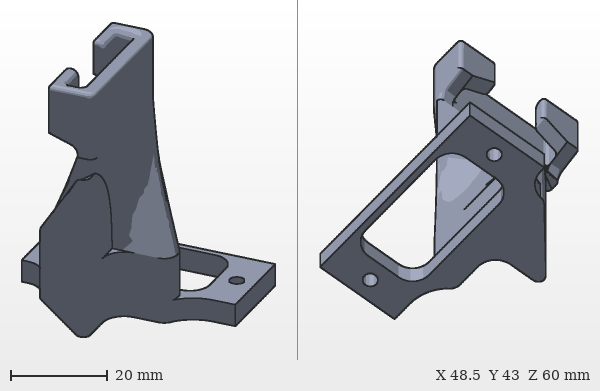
import cadquery as cq
import math

plate_length = 48.5
plate_width = 20.05
plate_thick = 5.05
hole_spacing = 40.1
hole_diameter = 3.2
window_length = 31.5
window_width = 17.1
window_radius = 4.5

pillar_left = -18.05
pillar_right = 12.0
pillar_back = -plate_width / 2
pillar_thick = 5.0
pillar_front = pillar_back - pillar_thick
pillar_height = 15.0
pillar_front_radius = 3.0
edge_radius = 0.95

gusset_right = -1.45
gusset_angle = 41.0
gusset_height = 36.6
gusset_sink = 0.5
gusset_corner_radius = 2.0
gusset_nose_radius = 1.55
gusset_blend_radius = 4.9

left_blend_radius = 4.9
left_blend_start = -22.9
right_blend_radius = 10.4
right_blend_start = 19.3

total_height = 60.0
head_bottom = 44.75
head_split = 55.2
head_left = -8.05
head_right = 2.5
head_back = -0.85
head_length = 32.15
head_back_radius = 3.0
head_front_radius = 1.5
wall_thick = 4.0
lip_thick = 3.05
end_wall_thick = 3.35
lip_length = 9.85
slot_radius = 0.95
slot_rim_radius = 2.0
lip_corner_height = 48.7
lip_tip_rise = 3.6
underside_drop = 2.15
underside_radius = 2.1

head_front = head_back - head_length
wall_left = head_right - wall_thick
slot_left = head_left + lip_thick
slot_back = head_back - end_wall_thick
slot_front = head_front + end_wall_thick
lip_back = head_back - lip_length
lip_front = head_front + lip_length
head_mid_y = (head_back + head_front) / 2


def rounded_corner(before, corner, after, radius):
    """Start, middle and end points of the arc that rounds a corner."""
    corner = cq.Vector(*corner)
    to_before = (cq.Vector(*before) - corner).normalized()
    to_after = (cq.Vector(*after) - corner).normalized()
    half_angle = to_before.getAngle(to_after) / 2
    setback = radius / math.tan(half_angle)
    bisector = (to_before + to_after).normalized()
    middle = corner + bisector * (radius / math.sin(half_angle) - radius)
    return corner + to_before * setback, middle, corner + to_after * setback


def rounded_outline(corners, radii, height):
    """Edges of a closed outline at a height, with one radius for each corner."""
    count = len(corners)
    arcs = [
        rounded_corner(corners[i - 1], corners[i], corners[(i + 1) % count], radii[i])
        for i in range(count)
    ]
    edges = []
    for i, (start, middle, end) in enumerate(arcs):
        next_start = arcs[(i + 1) % count][0]
        edges.append(cq.Edge.makeThreePointArc(start, middle, end))
        edges.append(cq.Edge.makeLine(end, next_start))
    return [edge.translate(cq.Vector(0, 0, height)) for edge in edges]


def straight_outline(corners, height):
    """Edges of a closed polygon at a height."""
    points = [cq.Vector(x, y, height) for x, y in corners]
    return [cq.Edge.makeLine(start, end) for start, end in zip(points, points[1:] + points[:1])]


def ruled_solid(low_edges, high_edges):
    """Solid between two outlines, joining each low edge to the high edge of the same place."""
    faces = [cq.Face.makeRuledSurface(low, high) for low, high in zip(low_edges, high_edges)]
    for edges in (low_edges, high_edges):
        faces.append(cq.Face.makeFromWires(cq.Wire.assembleEdges(edges)))
    return cq.Workplane(cq.Solid.makeSolid(cq.Shell.makeShell(faces)).fix())


def block(x0, x1, y0, y1, z0, z1):
    """Box between two values on each axis."""
    return cq.Workplane("XY").box(x1 - x0, y1 - y0, z1 - z0, centered=False).translate((x0, y0, z0))


def vertical_edge(x, y):
    """Selector for the vertical edges at one place in plan."""
    margin = 0.05
    corner = (x + margin, y + margin, 2 * total_height)
    return cq.selectors.BoxSelector((x - margin, y - margin, -total_height), corner)


def make_plate():
    """Flat plate with a rounded window and two screw holes."""
    plate = cq.Workplane("XY").box(plate_length, plate_width, plate_thick, centered=(True, True, False))
    window = (
        cq.Workplane("XY")
        .rect(window_length, window_width)
        .extrude(plate_thick)
        .edges("|Z")
        .fillet(window_radius)
    )
    holes = (
        cq.Workplane("XY")
        .pushPoints([(-hole_spacing / 2, 0), (hole_spacing / 2, 0)])
        .circle(hole_diameter / 2)
        .extrude(plate_thick)
    )
    return plate.cut(window).cut(holes)


def make_front_blend(start, radius, body_x):
    """Web between the plate's front edge and the upright, hollowed by an arc."""
    web_front = pillar_front + edge_radius
    web = block(min(start, body_x), max(start, body_x), web_front, pillar_back, 0, plate_thick)
    hollow = cq.Workplane("XY").center(start, pillar_back - radius).circle(radius).extrude(plate_thick)
    return web.cut(hollow)


def make_arm():
    """Pillar, then a ruled quarter twist up to the wall of the head."""
    pillar_corners = [
        (pillar_left, pillar_back),
        (pillar_left, pillar_front),
        (pillar_right, pillar_front),
        (pillar_right, pillar_back),
    ]
    pillar_radii = [edge_radius, gusset_corner_radius, pillar_front_radius, edge_radius]
    wall_corners = [
        (wall_left, head_front),
        (head_right, head_front),
        (head_right, head_back),
        (wall_left, head_back),
    ]
    wall_radii = [edge_radius, head_front_radius, head_back_radius, edge_radius]
    foot = rounded_outline(pillar_corners, pillar_radii, 0)
    pillar_top = rounded_outline(pillar_corners, pillar_radii, pillar_height)
    wall_foot = rounded_outline(wall_corners, wall_radii, head_bottom)
    return ruled_solid(foot, pillar_top).union(ruled_solid(pillar_top, wall_foot))


def make_gusset_blend():
    """Concave blend between the gusset's right side and the pillar's front face."""
    radius = gusset_blend_radius
    web = block(gusset_right, gusset_right + radius, pillar_front - radius, pillar_front, 0, pillar_height)
    hollow = (
        cq.Workplane("XY")
        .center(gusset_right + radius, pillar_front - radius)
        .circle(radius)
        .extrude(pillar_height)
    )
    return web.cut(hollow)


def make_gusset():
    """Tapered rib below the twisted arm, with its top sunk a little into the arm."""
    nose_y = pillar_front - (gusset_right - pillar_left) * math.tan(math.radians(gusset_angle))
    pillar_mid_y = (pillar_back + pillar_front) / 2
    rib = (
        cq.Workplane("XY")
        .polyline(
            [
                (pillar_left, pillar_mid_y),
                (pillar_left, pillar_front),
                (gusset_right, nose_y),
                (gusset_right, pillar_mid_y),
            ]
        )
        .close()
        .extrude(gusset_height)
        .edges(vertical_edge(pillar_left, pillar_front))
        .fillet(gusset_corner_radius)
        .edges(vertical_edge(gusset_right, nose_y))
        .fillet(gusset_nose_radius)
    )

    reach = 48.0
    root_y = pillar_front + gusset_sink
    root_x = head_right - gusset_sink
    low_corners = [
        (pillar_left - reach, root_y),
        (pillar_right + reach, root_y),
        (pillar_right + reach, root_y + reach),
        (pillar_left - reach, root_y + reach),
    ]
    high_corners = [
        (root_x, head_front - reach),
        (root_x, head_back + reach),
        (root_x - reach, head_back + reach),
        (root_x - reach, head_front - reach),
    ]
    behind_arm = ruled_solid(
        straight_outline(low_corners, pillar_height),
        straight_outline(high_corners, head_bottom),
    )
    return rib.cut(behind_arm)


def make_ring(bottom, top):
    """Closed ring that becomes the hook once the gap between the lips is cut."""
    ring = block(head_left, head_right, head_front, head_back, bottom, top)
    corners = [
        (head_left, head_front, edge_radius),
        (head_left, head_back, edge_radius),
        (head_right, head_front, head_front_radius),
        (head_right, head_back, head_back_radius),
    ]
    for x, y, radius in corners:
        ring = ring.edges(vertical_edge(x, y)).fillet(radius)
    slot = block(slot_left, wall_left, slot_front, slot_back, bottom, top)
    return ring.cut(slot.edges("|Z").fillet(slot_radius))


def open_lips(ring, bottom, top, round_bottom, round_top):
    """Cut the gap between the lips and round the lip ends between two heights."""
    head = ring.cut(block(head_left, slot_left, lip_front, lip_back, bottom, top))
    margin = 0.005
    for y in (lip_front, lip_back):
        end_face = cq.selectors.BoxSelector(
            (head_left - 0.6, y - margin, round_bottom), (slot_left + 0.05, y + margin, round_top)
        )
        end_edges = head.edges(end_face)
        head = head.newObject(end_edges.vals()).fillet(edge_radius)
    return head


def make_upper_head():
    """Top of the hook, with a small round outside and a large round along the slot."""
    ring = make_ring(head_split, total_height)
    for rim_x, radius in [(head_right, edge_radius), (wall_left, slot_rim_radius)]:
        rim_point = (rim_x, head_mid_y, total_height)
        ring = ring.faces(">Z").edges(cq.selectors.NearestToPointSelector(rim_point)).fillet(radius)
    above_split = head_split + 0.03
    return open_lips(ring, head_split, total_height, above_split, total_height + 0.6)


def make_lower_head():
    """Bottom of the hook, cut away below the lips and end walls."""
    under_right = wall_left
    under_top = lip_corner_height - underside_drop
    underside = (
        cq.Workplane("XZ", origin=(0, head_back, 0))
        .polyline(
            [
                (head_left, head_bottom),
                (head_left, lip_corner_height),
                (under_right, under_top),
                (under_right, head_bottom),
            ]
        )
        .close()
        .extrude(head_length)
        .edges(cq.selectors.NearestToPointSelector((under_right, head_mid_y, under_top)))
        .fillet(underside_radius)
    )

    tip_height = lip_corner_height + lip_tip_rise
    lip_profile = cq.Wire.makePolygon(
        [
            cq.Vector(head_left, slot_back, head_bottom),
            cq.Vector(head_left, slot_back, lip_corner_height),
            cq.Vector(head_left, lip_back, tip_height),
            cq.Vector(head_left, lip_front, tip_height),
            cq.Vector(head_left, slot_front, lip_corner_height),
            cq.Vector(head_left, slot_front, head_bottom),
        ],
        close=True,
    )
    slope = cq.Vector(under_right - head_left, 0, under_top - lip_corner_height)
    lip_underside = cq.Workplane(cq.Solid.extrudeLinear(lip_profile, [], slope))
    body = block(head_left, head_right, head_front, head_back, head_bottom, head_split)
    body = body.cut(underside).cut(lip_underside)

    side_x = -5.4
    side_z = 47.4
    for y in (head_front, head_back):
        body = body.edges(cq.selectors.NearestToPointSelector((side_x, y, side_z))).fillet(edge_radius)
    ring = body.intersect(make_ring(head_bottom, head_split))
    below_split = head_split - 0.03
    return open_lips(ring, head_bottom, head_split, head_bottom, below_split)


result = (
    make_plate()
    .union(make_front_blend(left_blend_start, left_blend_radius, pillar_left + edge_radius))
    .union(make_front_blend(right_blend_start, right_blend_radius, pillar_right - edge_radius))
    .union(make_arm())
    .union(make_gusset())
    .union(make_gusset_blend())
    .union(make_lower_head())
    .union(make_upper_head())
)